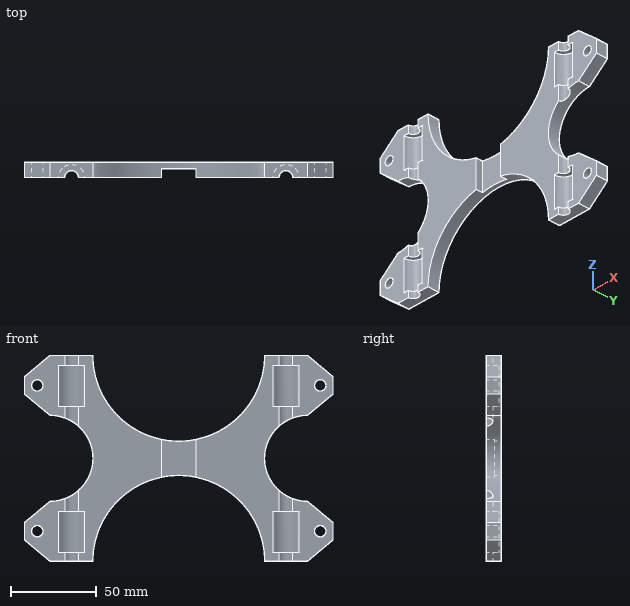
import cadquery as cq
import math

length = 180.0
height = 120.0
thickness = 9.0
half_length = length / 2
half_height = height / 2

waist_height = 20.0
big_radius = half_height - waist_height / 2
side_radius = 25.0
side_center_x = 75.0
ear_center_z = 42.5
ear_tip_height = 10.0
ear_tip_top = ear_center_z + ear_tip_height / 2
ear_tip_bottom = ear_center_z - ear_tip_height / 2

hole_diameter = 6.5
hole_x = 82.5

rod_x = 62.5
rod_diameter = 8.0
bearing_diameter = 15.1
bearing_length = 24.0
upper_bearing_z = 42.1
lower_bearing_z = -43.0

notch_width = 20.0
notch_depth = 5.0

front_y = -thickness / 2
signs = (-1, 1)


def plate():
    """Symmetric plate with four ears, scooped out on all four sides."""
    arc_offset = big_radius * math.sqrt(0.5)
    side_inner_x = side_center_x - side_radius
    right_half = (
        cq.Workplane("XZ", origin=(0, -front_y, 0))
        .moveTo(0, half_height - big_radius)
        .threePointArc((arc_offset, half_height - arc_offset), (big_radius, half_height))
        .lineTo(side_center_x, half_height)
        .lineTo(half_length, ear_tip_top)
        .lineTo(half_length, ear_tip_bottom)
        .lineTo(side_center_x, side_radius)
        .threePointArc((side_inner_x, 0), (side_center_x, -side_radius))
        .lineTo(half_length, -ear_tip_bottom)
        .lineTo(half_length, -ear_tip_top)
        .lineTo(side_center_x, -half_height)
        .lineTo(big_radius, -half_height)
        .threePointArc((arc_offset, arc_offset - half_height), (0, big_radius - half_height))
        .close()
        .extrude(thickness)
    )
    return right_half.union(right_half.mirror("YZ"))


def ear_holes():
    """Through holes, one in each ear."""
    points = [(x * hole_x, z * ear_center_z) for x in signs for z in signs]
    return (
        cq.Workplane("XZ")
        .pushPoints(points)
        .circle(hole_diameter / 2)
        .extrude(thickness, both=True)
    )


def front_cylinder(x, center_z, diameter, cylinder_length):
    """Cylinder along Z whose axis lies on the front face."""
    return (
        cq.Workplane("XY", origin=(x, front_y, center_z - cylinder_length / 2))
        .circle(diameter / 2)
        .extrude(cylinder_length)
    )


result = plate().cut(ear_holes())

for x_sign in signs:
    result = result.cut(front_cylinder(x_sign * rod_x, 0, rod_diameter, height))
    for bearing_z in (upper_bearing_z, lower_bearing_z):
        seat = front_cylinder(x_sign * rod_x, bearing_z, bearing_diameter, bearing_length)
        result = result.cut(seat)

notch = cq.Workplane("XY").box(notch_width, 2 * notch_depth, height).translate((0, front_y, 0))
result = result.cut(notch)